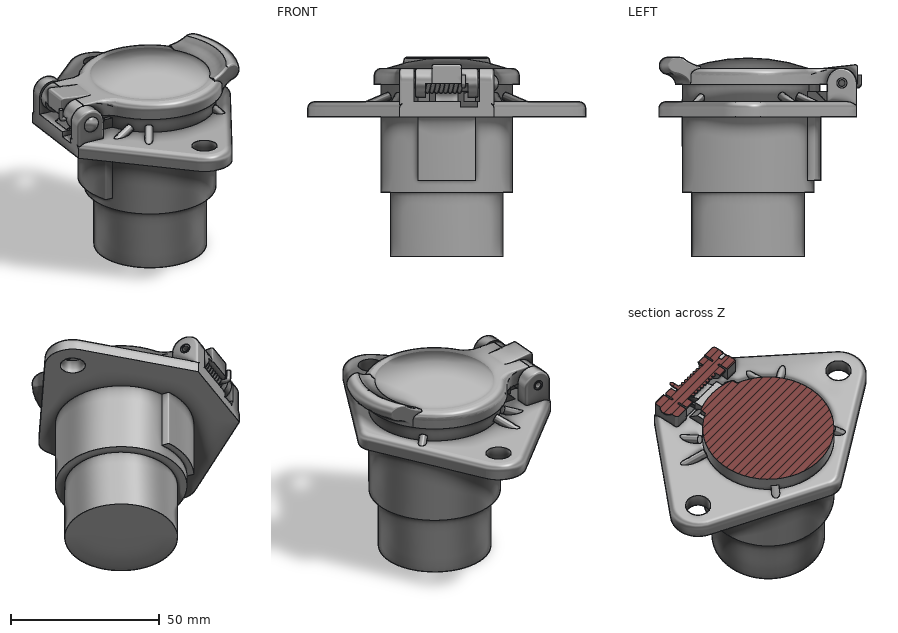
import cadquery as cq
import math


body_radius = 22.2
body_bottom = -25.35
spigot_radius = 19.0
spigot_bottom = -47.0
pad_radius = 24.5
pad_half_width = 9.7
pad_bottom = -21.3
pad_edge_round = 0.6

flange_thickness = 5.1
flange_edge_round = 2.3
ear_spacing = 74.8
ear_radius = 9.4
ear_hole_diameter = 8.4
back_corner_y = 23.9
back_corner_radius = 6.1
hinge_edge_y = -36.5
hinge_edge_half_width = 15.9

lid_radius = 24.4
lid_bottom = 10.9
lid_top = 16.4
lid_edge_round = 2.5
dome_radius = 20.1
dome_top = 19.8
lid_arm_half_width = 10.5
lid_arm_blend = 7.5
lid_arm_edge_round = 0.6

lip_top = 20.1
lip_outer_radius = 29.9
lip_bead_radius = 2.9
lip_crest_angle = 120.0
lip_underside_angle = -83.0
lip_hollow = (23.1, 17.6)
lip_throat = (25.4, 13.1)
lip_root_y = 16.1
lip_root_half_width = 15.6
lip_tip_half_width = 12.7
lip_edge_round = 0.7

hinge_y = -31.5
hinge_z = 11.4
knuckle_radius = 4.9
knuckle_inner_x = 7.2
cheek_inner_x = 10.9
cheek_outer_x = hinge_edge_half_width
cheek_radius = hinge_y - hinge_edge_y
cheek_edge_round = 0.9
pin_radius = 1.7
pin_recess_depth = 0.3
pin_bore_radius = 1.1
pin_bore_depth = 2.8
pin_head_radius = 2.7
pin_head_height = 1.5

stop_half_width = 5.8
stop_top = 8.6
stop_front_y = -27.1
neck_half_width = 8.4
neck_radius = 24.1
neck_edge_round = 0.9
wedge_half_width = 3.8
wedge_front_y = -34.4
notch_min_x = 4.7
notch_max_x = 10.3
notch_floor = 3.4

housing_half_width = 5.0
housing_back_y = -25.35
housing_front_y = -36.9
housing_top = 17.7
housing_bottom = 11.2
housing_front_round = 0.9
housing_edge_round = 0.5

wire_radius = 0.7
wire_diameter = 2 * wire_radius
coil_outer_radius = 3.6
coil_radius = coil_outer_radius - wire_radius
coil_count = 8
coil_first_x = -5.9
coil_pitch = 1.1 * wire_diameter
coil_tilt = 14.0
leg_x = 5.6
leg_front_y = -38.2
leg_y = leg_front_y + wire_radius
leg_top = 14.1
leg_bend_radius = 0.8

rib_radius = 1.4
rib_top = 8.5
ribs = [
    ((19.5, -11.3), (27.3, -15.8)),
    ((16.2, -16.6), (17.9, -23.7)),
    ((15.4, 15.4), (18.4, 18.4)),
]


def cylinder_z(radius, bottom, top):
    return cq.Workplane("XY").workplane(offset=bottom).circle(radius).extrude(top - bottom)


def cylinder_x(radius, y, z, start, end):
    return cq.Workplane("YZ", origin=(start, 0, 0)).center(y, z).circle(radius).extrude(end - start)


def box(x_range, y_range, z_range):
    size = [end - start for start, end in (x_range, y_range, z_range)]
    return cq.Workplane("XY").box(*size, centered=False).translate((x_range[0], y_range[0], z_range[0]))


def front_sector(radius, half_width, edge_round, bottom, top):
    """Slice of a round post on the hinge side, with its two upright edges rounded."""
    strip = box((-half_width, half_width), (-radius - 0.9, 0), (bottom, top))
    sector = cylinder_z(radius, bottom, top).intersect(strip)
    return sector.edges("|Z").edges("<Y").fillet(edge_round)


def make_body():
    body = cylinder_z(spigot_radius, spigot_bottom, 0)
    body = body.union(cylinder_z(body_radius, body_bottom, lid_bottom + 0.9))
    return body.union(front_sector(pad_radius, pad_half_width, pad_edge_round, pad_bottom, flange_thickness))


def make_flange():
    ear_x = ear_spacing / 2

    run = math.hypot(ear_x, back_corner_y)
    back_normal = math.pi / 2 - math.atan2(back_corner_y, ear_x)
    back_normal += math.asin((ear_radius - back_corner_radius) / run)
    back_dir = (math.cos(back_normal), math.sin(back_normal))
    back_start = (back_corner_radius * back_dir[0], back_corner_y + back_corner_radius * back_dir[1])
    back_end = (ear_x + ear_radius * back_dir[0], ear_radius * back_dir[1])

    to_corner_x = hinge_edge_half_width - ear_x
    reach = math.hypot(to_corner_x, hinge_edge_y)
    front_normal = math.atan2(hinge_edge_y, to_corner_x) + math.acos(ear_radius / reach)
    front_end = (ear_x + ear_radius * math.cos(front_normal), ear_radius * math.sin(front_normal))

    flange = (
        cq.Workplane("XY")
        .moveTo(-hinge_edge_half_width, hinge_edge_y)
        .lineTo(hinge_edge_half_width, hinge_edge_y)
        .lineTo(*front_end)
        .threePointArc((ear_x + ear_radius, 0), back_end)
        .lineTo(*back_start)
        .threePointArc((0, back_corner_y + back_corner_radius), (-back_start[0], back_start[1]))
        .lineTo(-back_end[0], back_end[1])
        .threePointArc((-ear_x - ear_radius, 0), (-front_end[0], front_end[1]))
        .close()
        .extrude(flange_thickness)
    )

    hinge_edge = cq.selectors.BoxSelector(
        (-ear_x, hinge_edge_y - 0.9, flange_thickness - 0.9),
        (ear_x, hinge_edge_y + 0.9, flange_thickness + 0.9),
    )
    top_edges = cq.selectors.DirectionMinMaxSelector(cq.Vector(0, 0, 1))
    rounded_edges = cq.selectors.SubtractSelector(top_edges, hinge_edge)
    flange = flange.faces(">Z").edges(rounded_edges).fillet(flange_edge_round)

    underside = flange.faces("<Z").workplane(origin=(0, 0, 0))
    return underside.pushPoints([(-ear_x, 0), (ear_x, 0)]).hole(ear_hole_diameter)


def make_rib(start, tip, side):
    """Slanted rod sinking from the body wall into the flange."""
    length = math.hypot(tip[0] - start[0], tip[1] - start[1])
    drop = rib_top - flange_thickness
    slope = math.hypot(length, drop)
    axis_drop = rib_radius * slope / length
    direction = cq.Vector(side * (tip[0] - start[0]), tip[1] - start[1], -drop)
    origin = cq.Vector(side * start[0], start[1], rib_top - axis_drop)
    rod = cq.Solid.makeCylinder(rib_radius, slope, origin, direction)
    return cq.Workplane(obj=rod)


def make_hinge_mount():
    mount = front_sector(neck_radius, neck_half_width, neck_edge_round, flange_thickness, lid_bottom + 0.9)

    ramp_height = stop_top - flange_thickness
    ramp_top_y = -22.8
    ramp = (
        cq.Workplane("YZ")
        .moveTo(0, 0)
        .lineTo(0, stop_top)
        .lineTo(ramp_top_y, stop_top)
        .lineTo(ramp_top_y - ramp_height, flange_thickness)
        .lineTo(ramp_top_y - ramp_height, 0)
        .close()
        .extrude(pad_half_width, both=True)
    )
    mount = mount.union(ramp)
    mount = mount.union(box((-stop_half_width, stop_half_width), (stop_front_y, ramp_top_y), (0, stop_top)))
    wedge = (
        cq.Workplane("YZ")
        .moveTo(wedge_front_y, 0)
        .lineTo(wedge_front_y, flange_thickness)
        .lineTo(stop_front_y, stop_top)
        .lineTo(stop_front_y, 0)
        .close()
        .extrude(wedge_half_width, both=True)
    )
    mount = mount.union(wedge)

    for side in (-1, 1):
        cheek = (
            cq.Workplane("YZ", origin=(side * cheek_inner_x, 0, 0))
            .moveTo(hinge_y - cheek_radius, 0)
            .lineTo(hinge_y - cheek_radius, hinge_z)
            .threePointArc((hinge_y, hinge_z + cheek_radius), (hinge_y + cheek_radius, hinge_z))
            .lineTo(hinge_y + cheek_radius, 0)
            .close()
            .extrude(side * (cheek_outer_x - cheek_inner_x))
        )
        outer_face = ">X" if side > 0 else "<X"
        cheek = cheek.faces(outer_face).edges("not <Z").fillet(cheek_edge_round)
        mount = mount.union(cheek)
    return mount


def make_blend_rounding(blend_x, blend_y, touch_angle, side):
    """Cutter that rounds the arm's top edge, fading from the disc's rounding to the arm's own."""
    section_count = 5
    overhang = 0.1
    start_angle = touch_angle + math.pi
    sections = []
    for index in range(section_count):
        fraction = index / (section_count - 1)
        angle = start_angle + fraction * (math.pi - start_angle)
        radius = lid_edge_round + fraction * (lid_arm_edge_round - lid_edge_round)
        diagonal = radius * (1 - math.sqrt(0.5))
        outward = cq.Vector(side * math.cos(angle), math.sin(angle), 0)
        plane = cq.Plane((side * blend_x, blend_y, lid_top), outward, outward.cross(cq.Vector(0, 0, 1)))
        up = plane.yDir.z
        section = (
            cq.Workplane(plane)
            .moveTo(lid_arm_blend - overhang, up * overhang)
            .lineTo(lid_arm_blend - overhang, -up * radius)
            .lineTo(lid_arm_blend, -up * radius)
            .threePointArc(
                (lid_arm_blend + diagonal, -up * diagonal),
                (lid_arm_blend + radius, 0),
            )
            .lineTo(lid_arm_blend + radius, up * overhang)
            .close()
        )
        sections.append(section.val())
    return cq.Workplane(obj=cq.Solid.makeLoft(sections))


def make_lid():
    disc = cylinder_z(lid_radius, lid_bottom, lid_top).faces(">Z").edges().fillet(lid_edge_round)

    dome_height = dome_top - lid_top
    sphere_radius = (dome_radius**2 + dome_height**2) / (2 * dome_height)
    dome = cq.Workplane("XY").sphere(sphere_radius).translate((0, 0, dome_top - sphere_radius))
    dome = dome.intersect(cylinder_z(dome_radius, lid_top - 0.9, dome_top + 0.9))

    blend_x = lid_arm_half_width + lid_arm_blend
    blend_y = -math.sqrt((lid_radius + lid_arm_blend) ** 2 - blend_x**2)
    touch_angle = math.atan2(blend_y, blend_x)
    touch = (lid_radius * math.cos(touch_angle), lid_radius * math.sin(touch_angle))
    middle_angle = (touch_angle + 2 * math.pi) / 2
    middle = (blend_x + lid_arm_blend * math.cos(middle_angle), blend_y + lid_arm_blend * math.sin(middle_angle))
    arm = (
        cq.Workplane("XY")
        .workplane(offset=lid_bottom)
        .lineTo(*touch)
        .threePointArc(middle, (lid_arm_half_width, blend_y))
        .lineTo(lid_arm_half_width, hinge_y)
        .lineTo(-lid_arm_half_width, hinge_y)
        .lineTo(-lid_arm_half_width, blend_y)
        .threePointArc((-middle[0], middle[1]), (-touch[0], touch[1]))
        .close()
        .extrude(lid_top - lid_bottom)
    )
    arm = arm.edges("|Y").edges(">Z").fillet(lid_arm_edge_round)
    for side in (-1, 1):
        arm = arm.cut(make_blend_rounding(blend_x, blend_y, touch_angle, side))
    return disc.union(dome).union(arm)


def make_knuckles():
    barrel = cylinder_x(knuckle_radius, hinge_y, hinge_z, -lid_arm_half_width, lid_arm_half_width)
    barrel = barrel.edges().fillet(lid_arm_edge_round)
    spring_space = box(
        (-knuckle_inner_x, knuckle_inner_x),
        (hinge_y - knuckle_radius, hinge_y + knuckle_radius),
        (hinge_z - knuckle_radius, housing_bottom),
    )
    return barrel.cut(spring_space)


def make_housing():
    housing = (
        cq.Workplane("YZ")
        .moveTo(housing_front_y, housing_bottom)
        .lineTo(housing_front_y, housing_top)
        .lineTo(housing_back_y, lid_top)
        .lineTo(housing_back_y, housing_bottom)
        .close()
        .extrude(housing_half_width, both=True)
    )
    housing = housing.edges("|X and <Y and >Z").fillet(housing_front_round)
    return housing.edges("(not |X) and (not <Z) and (not >Y)").fillet(housing_edge_round)


def make_lip():
    """Thumb lip: a hooked ring section trimmed to a tapered stretch at the back."""
    bead_center = (lip_outer_radius - lip_bead_radius, lip_top - lip_bead_radius)

    def bead_point(degrees):
        angle = math.radians(degrees)
        return (
            bead_center[0] + lip_bead_radius * math.cos(angle),
            bead_center[1] + lip_bead_radius * math.sin(angle),
        )

    ring = (
        cq.Workplane("XZ")
        .moveTo(dome_radius, lid_top)
        .threePointArc(lip_hollow, bead_point(lip_crest_angle))
        .threePointArc(bead_point(0), bead_point(lip_underside_angle))
        .threePointArc(lip_throat, (lid_radius, lid_bottom))
        .lineTo(dome_radius, lid_bottom)
        .close()
        .revolve(360, (0, 0, 0), (0, 1, 0))
    )
    trim = (
        cq.Workplane("XY")
        .workplane(offset=lid_bottom)
        .moveTo(-lip_root_half_width, lip_root_y)
        .lineTo(lip_root_half_width, lip_root_y)
        .lineTo(lip_tip_half_width, lip_outer_radius)
        .lineTo(-lip_tip_half_width, lip_outer_radius)
        .close()
        .extrude(lip_top - lid_bottom)
    )
    lip = ring.intersect(trim)

    past_root = cq.selectors.BoxSelector(
        (-lip_outer_radius, lip_root_y + lip_edge_round, lid_bottom),
        (lip_outer_radius, lip_outer_radius, lip_top),
    )
    return lip.edges("%BSPLINE").edges(past_root).fillet(lip_edge_round)


def make_pin():
    """Hinge pin with a domed head on the +X side."""
    pin = cylinder_x(pin_radius, hinge_y, hinge_z, -cheek_outer_x, cheek_outer_x)
    head_sphere = (pin_head_radius**2 + pin_head_height**2) / (2 * pin_head_height)
    half_angle = math.asin(pin_head_radius / head_sphere) / 2
    halfway = (
        pin_head_height - head_sphere * (1 - math.cos(half_angle)),
        head_sphere * math.sin(half_angle),
    )
    head = (
        cq.Workplane("XY", origin=(cheek_outer_x, hinge_y, hinge_z))
        .lineTo(0, pin_head_radius)
        .threePointArc(halfway, (pin_head_height, 0))
        .close()
        .revolve(360, (0, 0, 0), (1, 0, 0))
    )
    return pin.union(head)


def make_spring():
    """Coil spring as tilted rings on a solid core, with one bent free end."""
    core_end = knuckle_inner_x + 0.9
    spring = cylinder_x(coil_radius, hinge_y, hinge_z, -core_end, core_end)
    for index in range(coil_count):
        coil = cq.Solid.makeTorus(coil_radius, wire_radius, cq.Vector(0, 0, 0), cq.Vector(1, 0, 0))
        coil = cq.Workplane(obj=coil).rotate((0, 0, 0), (0, 1, 0), coil_tilt)
        spring = spring.union(coil.translate((coil_first_x + index * coil_pitch, hinge_y, hinge_z)))

    bend_z = housing_bottom
    leg_start_y = hinge_y - coil_radius + 0.9
    leg_start_z = bend_z - leg_bend_radius
    path = (
        cq.Workplane("YZ", origin=(leg_x, 0, 0))
        .moveTo(leg_start_y, leg_start_z)
        .lineTo(leg_y + leg_bend_radius, leg_start_z)
        .radiusArc((leg_y, bend_z), leg_bend_radius)
        .lineTo(leg_y, leg_top)
    )
    leg = cq.Workplane("XZ", origin=(leg_x, leg_start_y, leg_start_z)).circle(wire_radius).sweep(path)
    return spring.union(leg)


result = make_body().union(make_flange()).union(make_hinge_mount())
for rib_start, rib_tip in ribs:
    for rib_side in (-1, 1):
        result = result.union(make_rib(rib_start, rib_tip, rib_side))

result = result.cut(box((notch_min_x, notch_max_x), (hinge_edge_y, stop_front_y), (notch_floor, flange_thickness)))

for piece in (make_lid(), make_knuckles(), make_housing(), make_lip(), make_pin(), make_spring()):
    result = result.union(piece)

pin_recess = cylinder_x(pin_radius, hinge_y, hinge_z, -cheek_outer_x, -cheek_outer_x + pin_recess_depth)
pin_bore = cylinder_x(pin_bore_radius, hinge_y, hinge_z, -cheek_outer_x, -cheek_outer_x + pin_bore_depth)
result = result.cut(pin_recess).cut(pin_bore)